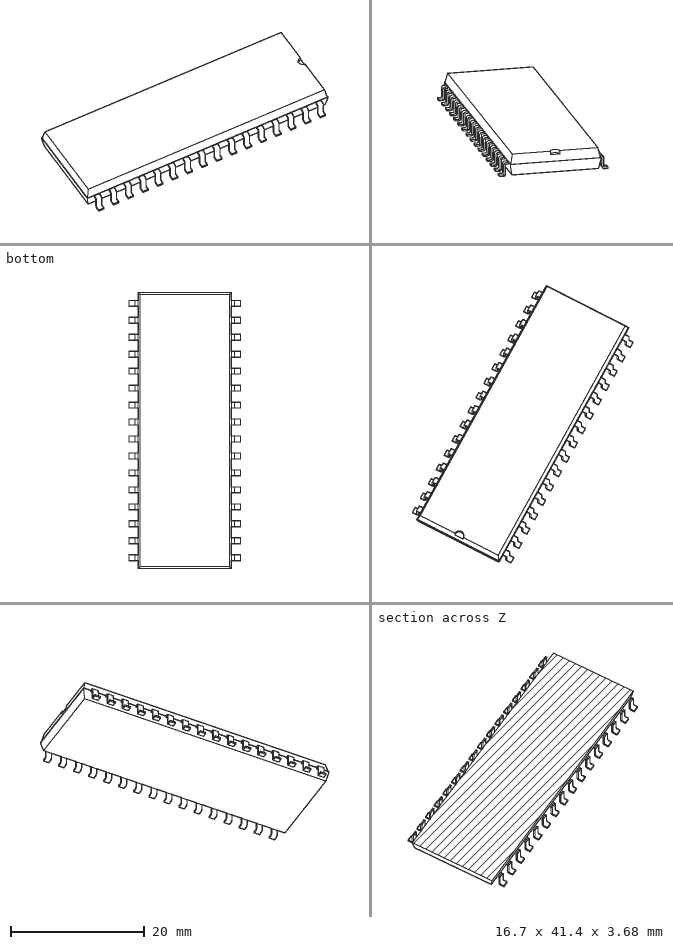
import cadquery as cq
import math

BODY_WIDTH = 14.0
BODY_LENGTH = 41.4
BAND_THICKNESS = 0.25
UPPER_HEIGHT = 1.5
LOWER_HEIGHT = 1.53
STANDOFF = 0.4
LEDGE = 0.075
DRAFT_ANGLE = 12.0

LEADS_PER_SIDE = 16
LEAD_PITCH = 2.54
LEAD_WIDTH = 0.914
LEAD_THICKNESS = 0.25
LEAD_SPAN = 16.72
SHANK_SPAN = 15.40
INNER_BEND_RADIUS = 0.125
LEAD_EMBED = 0.5
LEAD_DROP = 0.05

NOTCH_RADIUS = 0.7
NOTCH_DEPTH = 0.5

BAND_BOTTOM = STANDOFF + LOWER_HEIGHT
BAND_TOP = BAND_BOTTOM + BAND_THICKNESS
BODY_TOP = BAND_TOP + UPPER_HEIGHT
LEAD_BOTTOM = BAND_BOTTOM - LEAD_DROP
LEAD_TOP = LEAD_BOTTOM + LEAD_THICKNESS

UPPER_TAPER = UPPER_HEIGHT * math.tan(math.radians(DRAFT_ANGLE))
LOWER_TAPER = LOWER_HEIGHT * math.tan(math.radians(DRAFT_ANGLE))


def tapered_half(start_z, end_z, start_inset, taper):
    """Frustum whose outline is inset from the band at start_z and narrows by taper per side at end_z."""
    start_width = BODY_WIDTH - 2 * start_inset
    start_length = BODY_LENGTH - 2 * start_inset
    return (
        cq.Workplane("XY")
        .workplane(offset=start_z)
        .rect(start_width, start_length)
        .workplane(offset=end_z - start_z)
        .rect(start_width - 2 * taper, start_length - 2 * taper)
        .loft(ruled=True)
    )


def make_body():
    band = (
        cq.Workplane("XY")
        .workplane(offset=BAND_BOTTOM)
        .rect(BODY_WIDTH, BODY_LENGTH)
        .extrude(BAND_THICKNESS)
    )
    upper = tapered_half(BAND_TOP, BODY_TOP, LEDGE, UPPER_TAPER)
    lower = tapered_half(BAND_BOTTOM, STANDOFF, 0, LOWER_TAPER)
    return band.union(upper).union(lower)


def make_notch():
    """Round cutter centered on the +Y edge of the top face."""
    top_edge_y = BODY_LENGTH / 2 - LEDGE - UPPER_TAPER
    return (
        cq.Workplane("XY")
        .workplane(offset=BODY_TOP - NOTCH_DEPTH)
        .center(0, top_edge_y)
        .circle(NOTCH_RADIUS)
        .extrude(NOTCH_DEPTH)
    )


def make_lead():
    """Lead on the +X side, centered on Y = 0: shoulder, upright shank and foot."""
    root_x = BODY_WIDTH / 2 - LEAD_EMBED
    tip_x = LEAD_SPAN / 2
    shank_outer_x = SHANK_SPAN / 2
    shank_inner_x = shank_outer_x - LEAD_THICKNESS
    inner = INNER_BEND_RADIUS
    outer = inner + LEAD_THICKNESS
    inner_mid = inner * math.sqrt(0.5)
    outer_mid = outer * math.sqrt(0.5)
    shoulder_x = shank_inner_x - inner
    shoulder_z = LEAD_BOTTOM - inner
    foot_x = shank_outer_x + inner
    foot_z = outer
    return (
        cq.Workplane("XZ")
        .moveTo(root_x, LEAD_TOP)
        .lineTo(shoulder_x, LEAD_TOP)
        .threePointArc((shoulder_x + outer_mid, shoulder_z + outer_mid), (shank_outer_x, shoulder_z))
        .lineTo(shank_outer_x, foot_z)
        .threePointArc((foot_x - inner_mid, foot_z - inner_mid), (foot_x, LEAD_THICKNESS))
        .lineTo(tip_x, LEAD_THICKNESS)
        .lineTo(tip_x, 0)
        .lineTo(foot_x, 0)
        .threePointArc((foot_x - outer_mid, foot_z - outer_mid), (shank_inner_x, foot_z))
        .lineTo(shank_inner_x, shoulder_z)
        .threePointArc((shoulder_x + inner_mid, shoulder_z + inner_mid), (shoulder_x, LEAD_BOTTOM))
        .lineTo(root_x, LEAD_BOTTOM)
        .close()
        .extrude(LEAD_WIDTH / 2, both=True)
    )


def add_leads(body):
    """Join a row of leads to each long side of the body."""
    right_lead = make_lead()
    left_lead = right_lead.mirror("YZ")
    first_lead_y = -LEAD_PITCH * (LEADS_PER_SIDE - 1) / 2
    for index in range(LEADS_PER_SIDE):
        lead_y = first_lead_y + index * LEAD_PITCH
        for lead in (right_lead, left_lead):
            body = body.union(lead.translate((0, lead_y, 0)))
    return body


result = add_leads(make_body().cut(make_notch()))